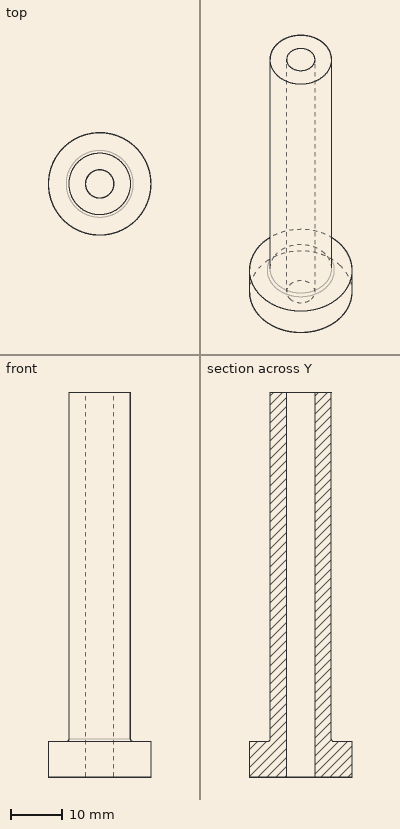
import cadquery as cq

total_length = 75.0
head_diameter = 20.0
head_height = 7.0
shank_diameter = 12.0
bore_diameter = 5.5
neck_fillet_radius = 0.5


def make_head():
    """Cylindrical head resting on the XY plane."""
    return cq.Workplane("XY").circle(head_diameter / 2).extrude(head_height)


def add_shank(body):
    """Straight shank rising from the head to the full length."""
    shank = cq.Workplane("XY").circle(shank_diameter / 2).extrude(total_length)
    return body.union(shank)


def round_neck(body):
    """Concave fillet where the shank meets the top of the head."""
    neck_edge = cq.selectors.RadiusNthSelector(0)
    return body.faces(cq.selectors.NearestToPointSelector((0, 0, head_height))).edges(neck_edge).fillet(
        neck_fillet_radius
    )


def cut_bore(body):
    """Through bore along the axis."""
    bore = cq.Workplane("XY").circle(bore_diameter / 2).extrude(total_length)
    return body.cut(bore)


result = cut_bore(round_neck(add_shank(make_head())))